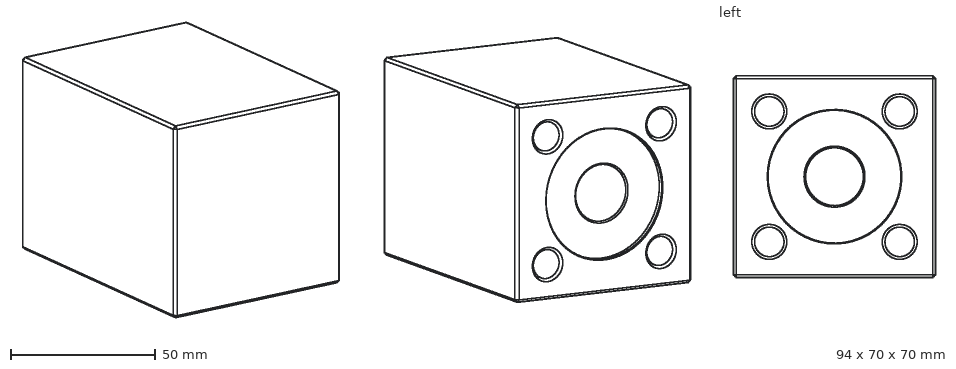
import cadquery as cq
import math

length = 94.0
side = 70.0
edge_chamfer = 1.0

recess_diameter = 46.1
recess_depth = 2.0
recess_chamfer = 0.3

bore_diameter = 20.0
bore_chamfer = 0.6
cross_bar_diameter = bore_diameter

hole_diameter = 10.2
hole_mouth_diameter = 12.1
hole_spacing = 45.2
hole_depth = 23.5
drill_point_angle = 140.0

face_x = -length / 2
recess_floor_x = face_x + recess_depth


def revolve_about_x(profile_points):
    """Solid of revolution about the X axis from (x, radius) points."""
    profile = cq.Workplane("XY").polyline(profile_points).close()
    return profile.revolve(360, (0, 0, 0), (1, 0, 0))


def block():
    return cq.Workplane("XY").box(length, side, side).edges().chamfer(edge_chamfer)


def recess():
    radius = recess_diameter / 2
    return revolve_about_x(
        [
            (face_x, 0),
            (face_x, radius + recess_chamfer),
            (face_x + recess_chamfer, radius),
            (recess_floor_x, radius),
            (recess_floor_x, 0),
        ]
    )


def bore():
    """Chamfered bore whose end wraps over the convex side of the cross bar."""
    radius = bore_diameter / 2
    straight_bore = revolve_about_x(
        [
            (recess_floor_x, 0),
            (recess_floor_x, radius + bore_chamfer),
            (recess_floor_x + bore_chamfer, radius),
            (0, radius),
            (0, 0),
        ]
    )
    cross_bar = cq.Workplane("XZ").circle(cross_bar_diameter / 2).extrude(side / 2, both=True)
    return straight_bore.cut(cross_bar)


def corner_hole():
    """Countersunk blind hole centred on the X axis, to be moved to a corner."""
    radius = hole_diameter / 2
    mouth_radius = hole_mouth_diameter / 2
    shoulder_x = face_x + hole_depth
    point_length = radius / math.tan(math.radians(drill_point_angle / 2))
    return revolve_about_x(
        [
            (face_x, 0),
            (face_x, mouth_radius),
            (face_x + mouth_radius - radius, radius),
            (shoulder_x, radius),
            (shoulder_x + point_length, 0),
        ]
    )


result = block().cut(recess()).cut(bore())
for y_side in (-1, 1):
    for z_side in (-1, 1):
        corner = (0, y_side * hole_spacing / 2, z_side * hole_spacing / 2)
        result = result.cut(corner_hole().translate(corner))